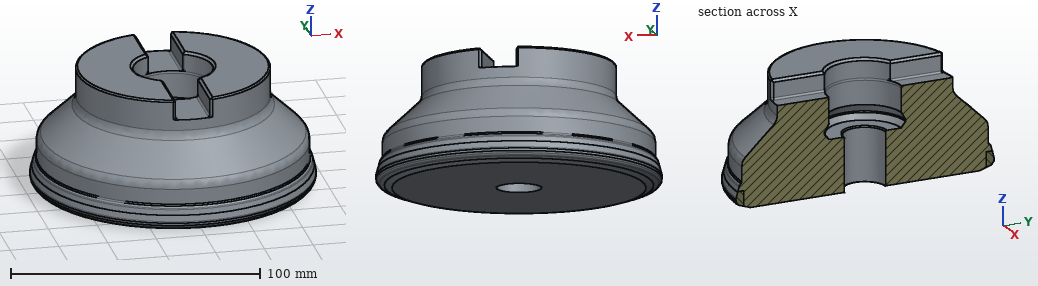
import cadquery as cq
import math

top_z = 50.0
stem_radius = 78.0 / 2
stem_rim_chamfer = 0.7

shoulder_top_z = 35.2
shoulder_bottom_z = 20.3
waist_radius = 109.7 / 2
shoulder_fillet = 5.0

waist_bottom_z = 11.3
flare_height = 1.1
flange_taper = 15
flare_fillet = 1.0

rim_radius = 57.5
rim_top_z = 5.2
rim_facets = [(0, 4.5), (0.1, 3.5), (0.5, 2.8), (1.0, 2.1), (1.5, 1.7)]
base_radius = 50.9

seat_top_z = 7.6
seat_bottom_z = 1.0

slot_width = 14.1
slot_depth = 8.3
slot_floor_fillet = 0.8
slot_edge_chamfer = 1.0
slot_bore_bevel = 0.3

bore_radius = 32.2 / 2
pilot_radius = 32.0 / 2
bore_mouth_chamfer = 1.0
pilot_lead_in = 0.9
pilot_depth = 19.7
chamber_radius = 17.9
chamber_wall = 0.7
chamber_flare = 30
chamber_taper = 38

screw_hole_radius = 18.0 / 2
screw_hole_chamfer = 0.6

slot_floor_z = top_z - slot_depth
flare_bottom_z = waist_bottom_z - flare_height
flare_radius = waist_radius + flare_height
pilot_bottom_z = top_z - pilot_depth
chamber_step = chamber_radius - pilot_radius
chamber_top_z = pilot_bottom_z - chamber_step / math.tan(math.radians(chamber_flare))
chamber_bottom_z = chamber_top_z - chamber_wall
bore_floor_z = chamber_bottom_z - chamber_step / math.tan(math.radians(chamber_taper))

underside_inset, underside_top_z = rim_facets[-1]
underside_slope = (rim_radius - underside_inset - base_radius) / underside_top_z
seat_radius = base_radius + seat_bottom_z * underside_slope


def revolved(points):
    """Solid of revolution about Z from (radius, height) points."""
    return cq.Workplane("XZ").polyline(points).close().revolve(360, (0, 0), (0, 1))


def circle_at(height):
    """Selector for a circular edge centred on the Z axis at a height."""
    reach = 0.01
    return cq.selectors.BoxSelector((-reach, -reach, height - reach), (reach, reach, height + reach))


def envelope():
    """Outer form shared by the body and the cutting ring, without holes."""
    rim_edge = [(rim_radius - inset, height) for inset, height in rim_facets]
    flare_to_rim = flare_radius + (flare_bottom_z - rim_top_z) * math.tan(math.radians(flange_taper))
    outline = [
        (0, top_z),
        (stem_radius, top_z),
        (stem_radius, shoulder_top_z),
        (waist_radius, shoulder_bottom_z),
        (waist_radius, waist_bottom_z),
        (flare_radius, flare_bottom_z),
        (flare_to_rim, rim_top_z),
        *rim_edge,
        (base_radius, 0),
        (0, 0),
    ]
    form = revolved(outline)
    for height in (shoulder_top_z, shoulder_bottom_z):
        form = form.edges(circle_at(height)).fillet(shoulder_fillet)
    for height in (waist_bottom_z, flare_bottom_z):
        form = form.edges(circle_at(height)).fillet(flare_fillet)
    return form.edges(circle_at(top_z)).chamfer(stem_rim_chamfer)


def ring_space():
    """Oversized annulus that separates the cutting ring from the body."""
    clear_radius = 1.1 * rim_radius
    return cq.Workplane("XY").circle(clear_radius).circle(seat_radius).extrude(seat_top_z)


def bore_cutter():
    """Stepped bore, undercut chamber and screw hole as one turned shape."""
    return revolved([
        (0, top_z),
        (bore_radius + bore_mouth_chamfer, top_z),
        (bore_radius, top_z - bore_mouth_chamfer),
        (bore_radius, slot_floor_z),
        (pilot_radius, slot_floor_z - pilot_lead_in),
        (pilot_radius, pilot_bottom_z),
        (chamber_radius, chamber_top_z),
        (chamber_radius, chamber_bottom_z),
        (pilot_radius, bore_floor_z),
        (screw_hole_radius + screw_hole_chamfer, bore_floor_z),
        (screw_hole_radius, bore_floor_z - screw_hole_chamfer),
        (screw_hole_radius, 0),
        (0, 0),
    ])


def slot_plan():
    """Outline of the drive slot, splayed where its walls meet the bore and the stem."""
    half_width = slot_width / 2
    bore_end_x = half_width + slot_bore_bevel
    bore_end_y = math.sqrt(bore_radius**2 - bore_end_x**2)
    stem_end_x = half_width + slot_edge_chamfer
    stem_end_y = math.sqrt(stem_radius**2 - stem_end_x**2)
    wall = [
        (bore_end_x, bore_end_y),
        (half_width, bore_end_y + slot_bore_bevel),
        (half_width, stem_end_y - slot_edge_chamfer),
        (stem_end_x + slot_edge_chamfer, stem_end_y + slot_edge_chamfer),
    ]
    left_back = [(-x, y) for x, y in reversed(wall)]
    left_front = [(-x, -y) for x, y in wall]
    right_front = [(x, -y) for x, y in reversed(wall)]
    return wall + left_back + left_front + right_front


def slot_cutter():
    """Drive slot with rounded floor corners and bevelled top edges."""
    channel = (
        cq.Workplane("XY", origin=(0, 0, slot_floor_z))
        .polyline(slot_plan())
        .close()
        .extrude(slot_depth)
        .faces("<Z")
        .edges("not |X")
        .fillet(slot_floor_fillet)
    )
    half_width = slot_width / 2
    bevel = (
        cq.Workplane("XZ")
        .polyline([
            (-half_width - slot_edge_chamfer, top_z),
            (half_width + slot_edge_chamfer, top_z),
            (half_width, top_z - slot_edge_chamfer),
            (-half_width, top_z - slot_edge_chamfer),
        ])
        .close()
        .extrude(stem_radius, both=True)
    )
    return channel.union(bevel)


def make_body(form):
    return form.cut(ring_space()).cut(bore_cutter()).cut(slot_cutter())


def make_cutting_ring(form):
    return form.intersect(ring_space())


form = envelope()
body = make_body(form)
cutting_ring = make_cutting_ring(form)

result = cq.Compound.makeCompound([body.val(), cutting_ring.val()])